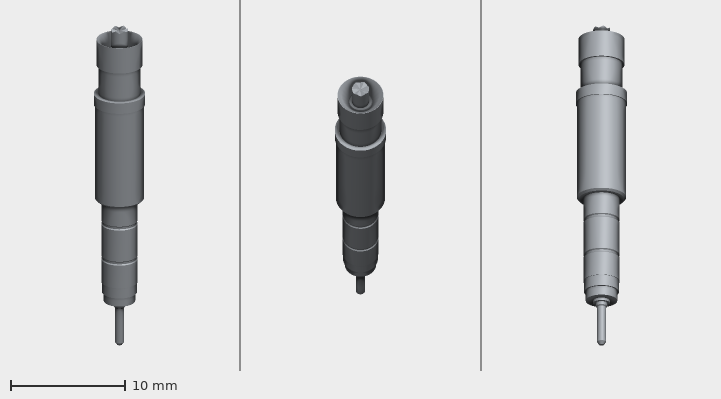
import cadquery as cq
import math


pin_tip_height = 0.27
pin_top = 3.55
shoulder_top = 3.93
nose_bottom = 4.17
nose_step = 5.0
nose_top = 6.0
groove_bottoms = [8.15, 11.5]
body_bottom = 13.8
flange_bottom = 22.85
flange_top = 23.85
cup_bottom = 26.58
cup_top = 28.98
total_height = 30.0

pin_diameter = 0.8
pin_radius = pin_diameter / 2
pin_tip_radius = 0.2
shoulder_radius = 0.5
spigot_radius = 0.75
nose_end_radius = 1.38
nose_radius = 1.53
stem_radius = 1.6
body_radius = 2.15
flange_radius = 2.25
neck_radius = 1.83
cup_radius = 2.0
plug_radius = 0.75

body_chamfer = 0.18

groove_width = 0.35
groove_depth = 0.1

mouth_radius = 1.98
collar_radius = 1.05
collar_chamfer = 0.1
collar_top = 28.08
recess_bottom = collar_top - collar_chamfer

notch_count = 3
notch_angle = 180 / notch_count
notch_depth = 0.2
notch_half_width = plug_radius * math.sin(math.radians(notch_angle / 2))


def revolve_profile(points):
    """Revolve (radius, height) points a full turn about the Z axis."""
    return cq.Workplane("XZ").polyline(points).close().revolve(360, (0, 0), (0, 1))


def make_blank():
    """Pin, nose, stem, body, flange, cup with its recess, and plug as one revolved solid."""
    shoulder_chamfer = shoulder_radius - pin_radius
    return revolve_profile([
        (0, 0),
        (pin_tip_radius, 0),
        (pin_radius, pin_tip_height),
        (pin_radius, pin_top),
        (shoulder_radius, pin_top + shoulder_chamfer),
        (shoulder_radius, shoulder_top),
        (spigot_radius, shoulder_top),
        (spigot_radius, nose_bottom),
        (nose_end_radius, nose_bottom),
        (nose_end_radius, nose_step),
        (nose_radius, nose_step),
        (nose_radius, nose_top),
        (stem_radius, nose_top),
        (stem_radius, body_bottom),
        (body_radius - body_chamfer, body_bottom),
        (body_radius, body_bottom + body_chamfer),
        (body_radius, flange_bottom),
        (flange_radius, flange_bottom),
        (flange_radius, flange_top),
        (neck_radius, flange_top),
        (neck_radius, cup_bottom),
        (cup_radius, cup_bottom),
        (cup_radius, cup_top),
        (mouth_radius, cup_top),
        (collar_radius, recess_bottom),
        (collar_radius - collar_chamfer, collar_top),
        (plug_radius, collar_top),
        (plug_radius, total_height),
        (0, total_height),
    ])


def make_groove(bottom):
    """Ring with 45 degree flanks that cuts a shallow groove into the stem."""
    top = bottom + groove_width
    floor_radius = stem_radius - groove_depth
    return revolve_profile([
        (stem_radius, bottom),
        (floor_radius, bottom + groove_depth),
        (floor_radius, top - groove_depth),
        (stem_radius, top),
    ])


def make_notch(angle):
    """V-shaped bar lying across the plug's end, turned about Z from the X axis."""
    bar_length = 2 * collar_radius
    cutter_depth = 2 * notch_depth
    cutter_half_width = 2 * notch_half_width
    notch = (
        cq.Workplane("YZ", origin=(-bar_length / 2, 0, total_height - notch_depth))
        .polyline([(0, 0), (cutter_half_width, cutter_depth), (-cutter_half_width, cutter_depth)])
        .close()
        .extrude(bar_length)
    )
    return notch.rotate((0, 0, 0), (0, 0, 1), angle)


result = make_blank()
for groove_bottom in groove_bottoms:
    result = result.cut(make_groove(groove_bottom))
for index in range(notch_count):
    result = result.cut(make_notch(index * notch_angle))